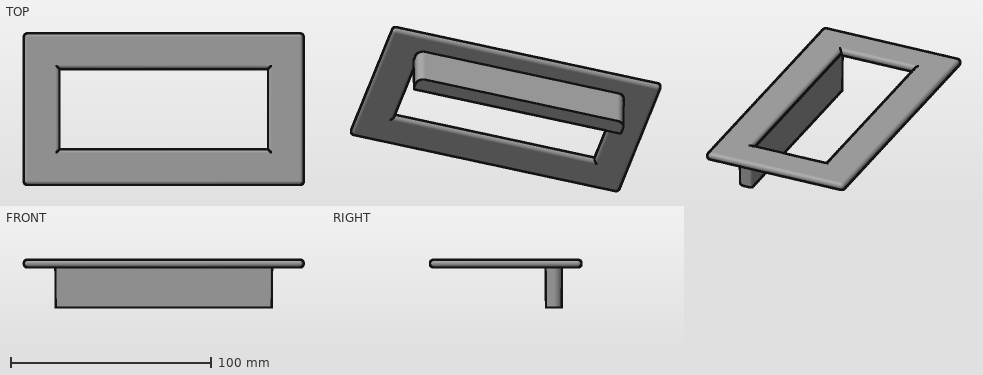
import cadquery as cq
import math

frame_length = 140.0
frame_width = 76.0
frame_thickness = 4.0
frame_draft = 2.0
bar_width = 18.0
outer_radius = 1.99
opening_radius = 1.9
opening_length = frame_length - 2 * bar_width
opening_width = frame_width - 2 * bar_width

tongue_drop = 20.0
tongue_length = 108.0
tongue_thickness = 8.0
tongue_back_radius = 4.0
tongue_front_radius = 1.0
tongue_draft = 0.5
tongue_root_z = frame_thickness / 2


def make_plate():
    """Drafted plate, rounded on every outer edge and corner."""
    plate = cq.Workplane("XY").rect(frame_length, frame_width)
    plate = plate.extrude(frame_thickness, taper=frame_draft)
    return plate.edges().fillet(outer_radius)


def cut_opening(plate):
    """Opening through the plate, rounded along its rims but sharp in its corners."""
    cutter = cq.Workplane("XY").rect(opening_length, opening_width).extrude(frame_thickness)
    frame = plate.cut(cutter)
    reach_x = opening_length / 2 + opening_radius
    reach_y = opening_width / 2 + opening_radius
    opening_zone = cq.selectors.BoxSelector(
        (-reach_x, -reach_y, -frame_thickness),
        (reach_x, reach_y, 2 * frame_thickness),
    )
    return frame.edges(opening_zone).edges("|X or |Y").fillet(opening_radius)


def make_tongue():
    """Drafted wall with a large round on its back corners and a small one on its front corners."""
    height = tongue_drop + tongue_root_z
    draft_growth = 2 * height * math.tan(math.radians(tongue_draft))
    center_y = (opening_width + tongue_thickness) / 2
    root = cq.Workplane("XY", origin=(0, center_y, tongue_root_z))
    root = root.rect(tongue_length + draft_growth, tongue_thickness + draft_growth)
    wall = root.extrude(-height, taper=tongue_draft)
    wall = wall.edges("not (|X or |Y)").edges(">Y").fillet(tongue_back_radius)
    return wall.edges("not (|X or |Y)").edges("<Y").fillet(tongue_front_radius)


result = cut_opening(make_plate()).union(make_tongue())